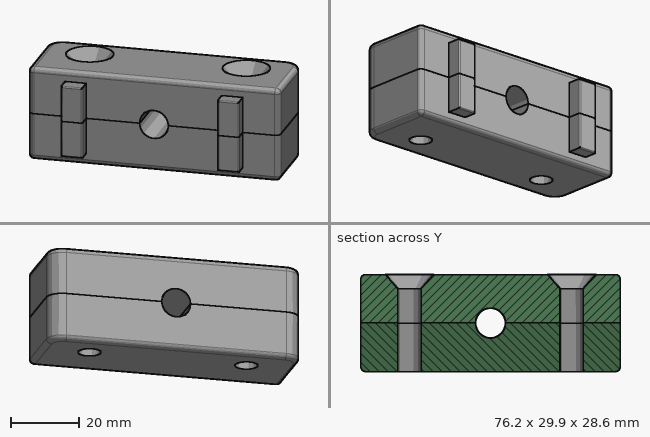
import cadquery as cq


block_length = 76.2
block_depth = 25.4
block_height = 28.6
edge_radius = 1.5
rear_corner_radius = 4.8

bore_diameter = 8.7

feature_spacing = 47.55
feature_positions = (-feature_spacing / 2, feature_spacing / 2)

screw_hole_diameter = 6.7
countersink_diameter = 14.0
countersink_depth = 4.2
screw_hole_y = 15.85

lug_width = 6.4
lug_height = 21.8
lug_projection = 4.5
lug_tip_radius = 0.4


def make_block():
    block = cq.Workplane("XY").box(block_length, block_depth, block_height, centered=(True, False, True))
    block = block.edges("|Z and >Y").fillet(rear_corner_radius)
    block = block.edges("|Z and <Y").fillet(edge_radius)
    return block.faces("<Z or >Z").edges().fillet(edge_radius)


def make_lug(x):
    lug = cq.Workplane("XY").box(lug_width, lug_projection, lug_height)
    lug = lug.faces("<Y").edges().fillet(lug_tip_radius)
    return lug.translate((x, -lug_projection / 2, 0))


def make_screw_hole(x):
    hole_radius = screw_hole_diameter / 2
    countersink_radius = countersink_diameter / 2
    top = block_height / 2
    profile = (
        cq.Workplane("XZ")
        .moveTo(0, -top)
        .lineTo(hole_radius, -top)
        .lineTo(hole_radius, top - countersink_depth)
        .lineTo(countersink_radius, top)
        .lineTo(0, top)
        .close()
    )
    return profile.revolve(360, (0, 0), (0, 1)).translate((x, screw_hole_y, 0))


def make_bore():
    return cq.Workplane("XZ").circle(bore_diameter / 2).extrude(-block_depth)


def make_clamp():
    """The complete clamp, before it is split at the parting plane."""
    clamp = make_block()
    for x in feature_positions:
        clamp = clamp.union(make_lug(x))
    clamp = clamp.cut(make_bore())
    for x in feature_positions:
        clamp = clamp.cut(make_screw_hole(x))
    return clamp


def make_half_space(side):
    """A box that holds everything above (side = 1) or below (side = -1) the parting plane."""
    half_height = block_height / 2
    box = cq.Workplane("XY").box(block_length, block_depth + lug_projection, half_height)
    box_y = (block_depth - lug_projection) / 2
    return box.translate((0, box_y, side * half_height / 2))


def make_upper_half(clamp):
    return clamp.intersect(make_half_space(1))


def make_lower_half(clamp):
    return clamp.intersect(make_half_space(-1))


whole_clamp = make_clamp()
upper_half = make_upper_half(whole_clamp)
lower_half = make_lower_half(whole_clamp)

result = cq.Compound.makeCompound([upper_half.val(), lower_half.val()])